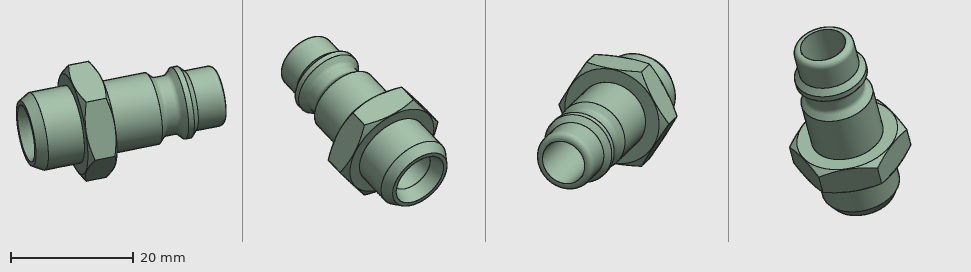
import cadquery as cq
import math

LENGTH = 33.0

THREAD_RADIUS = 6.5
THREAD_LENGTH = 8.0
THREAD_CHAMFER_LENGTH = 1.8
THREAD_CHAMFER_ANGLE = 30.0

HEX_ACROSS_FLATS = 17.0
HEX_THICKNESS = 5.0
HEX_FACE_RADIUS = 8.4
HEX_CHAMFER_ANGLE = 30.0

BODY_RADIUS = 6.0
TIP_RADIUS = 5.0
TIP_ROUND = 1.0
COLLAR_RAMP_START = 5.0
COLLAR_WIDTH = 1.0
GROOVE_START = 7.0
GROOVE_END = 11.5
GROOVE_RADIUS = 4.92
GROOVE_FILLET = 1.0

BORE_RADIUS = 3.75
MOUTH_RADIUS = 4.75
MOUTH_HALF_ANGLE = 22.5

HEX_END = THREAD_LENGTH + HEX_THICKNESS


def make_turned_body():
    """Revolve the thread, body, locking groove, collar and tip."""
    thread_end_radius = THREAD_RADIUS - THREAD_CHAMFER_LENGTH * math.tan(math.radians(THREAD_CHAMFER_ANGLE))
    groove_near = LENGTH - GROOVE_END
    groove_far = LENGTH - GROOVE_START

    groove_depth = BODY_RADIUS - GROOVE_RADIUS
    half_turn = math.radians(45.0 / 2)
    arc_mid_length = GROOVE_FILLET * math.sin(half_turn)
    arc_mid_rise = GROOVE_FILLET * (1 - math.cos(half_turn))
    arc_length = GROOVE_FILLET * math.sin(2 * half_turn)
    arc_rise = GROOVE_FILLET * (1 - math.cos(2 * half_turn))
    floor_inset = groove_depth + GROOVE_FILLET * math.tan(half_turn)
    floor_near = groove_near + floor_inset
    floor_far = groove_far - floor_inset

    ramp_foot = LENGTH - COLLAR_RAMP_START
    tip_round_start = LENGTH - TIP_ROUND
    diagonal = TIP_ROUND * math.sqrt(0.5)

    profile = (
        cq.Workplane("XY")
        .lineTo(thread_end_radius, 0)
        .lineTo(THREAD_RADIUS, THREAD_CHAMFER_LENGTH)
        .lineTo(THREAD_RADIUS, THREAD_LENGTH)
        .lineTo(BODY_RADIUS, THREAD_LENGTH)
        .lineTo(BODY_RADIUS, groove_near)
        .lineTo(GROOVE_RADIUS + arc_rise, floor_near - arc_length)
        .threePointArc((GROOVE_RADIUS + arc_mid_rise, floor_near - arc_mid_length), (GROOVE_RADIUS, floor_near))
        .lineTo(GROOVE_RADIUS, floor_far)
        .threePointArc(
            (GROOVE_RADIUS + arc_mid_rise, floor_far + arc_mid_length),
            (GROOVE_RADIUS + arc_rise, floor_far + arc_length),
        )
        .lineTo(BODY_RADIUS, groove_far)
        .lineTo(BODY_RADIUS, groove_far + COLLAR_WIDTH)
        .lineTo(TIP_RADIUS, ramp_foot)
        .lineTo(TIP_RADIUS, tip_round_start)
        .threePointArc(
            (TIP_RADIUS - TIP_ROUND + diagonal, tip_round_start + diagonal),
            (TIP_RADIUS - TIP_ROUND, LENGTH),
        )
        .lineTo(0, LENGTH)
        .close()
    )
    return profile.revolve(360, (0, 0, 0), (0, 1, 0))


def make_hexagon():
    """Hexagon with corners on the X axis, chamfered by a cone at both faces."""
    corner_radius = HEX_ACROSS_FLATS / math.sqrt(3)
    chamfer_depth = (corner_radius - HEX_FACE_RADIUS) * math.tan(math.radians(HEX_CHAMFER_ANGLE))
    prism = (
        cq.Workplane("XZ", origin=(0, HEX_END, 0))
        .polygon(6, 2 * corner_radius)
        .extrude(HEX_THICKNESS)
    )
    envelope = (
        cq.Workplane("XY")
        .moveTo(0, THREAD_LENGTH)
        .lineTo(HEX_FACE_RADIUS, THREAD_LENGTH)
        .lineTo(corner_radius, THREAD_LENGTH + chamfer_depth)
        .lineTo(corner_radius, HEX_END - chamfer_depth)
        .lineTo(HEX_FACE_RADIUS, HEX_END)
        .lineTo(0, HEX_END)
        .close()
        .revolve(360, (0, 0, 0), (0, 1, 0))
    )
    return prism.intersect(envelope)


def make_bore():
    """Through bore with the conical mouth."""
    mouth_depth = (MOUTH_RADIUS - BORE_RADIUS) / math.tan(math.radians(MOUTH_HALF_ANGLE))
    return (
        cq.Workplane("XY")
        .lineTo(MOUTH_RADIUS, 0)
        .lineTo(BORE_RADIUS, mouth_depth)
        .lineTo(BORE_RADIUS, LENGTH)
        .lineTo(0, LENGTH)
        .close()
        .revolve(360, (0, 0, 0), (0, 1, 0))
    )


result = make_turned_body().union(make_hexagon()).cut(make_bore())